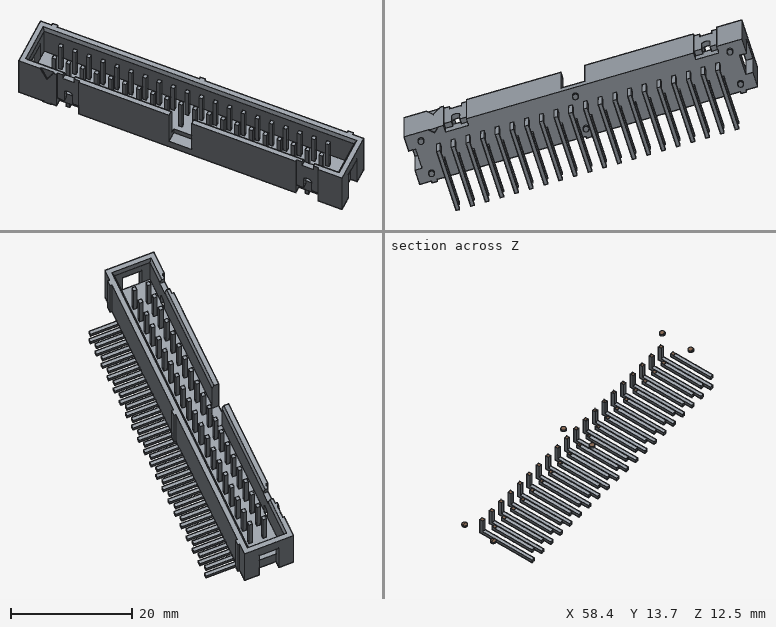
import cadquery as cq


LENGTH = 58.4
WIDTH = 8.8
HEIGHT = 9.0
WALL = 1.2
RIM = 0.9
BEVEL_HEIGHT = 0.7
FLOOR = 2.6
CUT_MARGIN = 0.6
FRONT = -WIDTH / 2
BACK = WIDTH / 2

KEY_WIDTH = 4.1
KEY_DEPTH = 1.9
KEY_BOTTOM = 1.6

LATCH_OFFSET = 1.2
LATCH_SPACING = 43.2
LATCH_CENTRES = [LATCH_OFFSET - LATCH_SPACING / 2, LATCH_OFFSET + LATCH_SPACING / 2]
LATCH_WIDTH = 4.0
LATCH_DEPTH = 0.35
LATCH_POCKET_HEIGHT = 1.75
LATCH_NOTCH_WIDTH = 2.05
LATCH_NOTCH_HEIGHT = 1.05
ARCH_WIDTH = 1.45
ARCH_TOP = 4.8

WINDOW_WIDTH = 3.5
WINDOW_TOP = 6.55

PIN_COLUMNS = 20
PIN_SPAN = 48.25
PITCH = PIN_SPAN / (PIN_COLUMNS - 1)
PIN_ONE_X = -PIN_SPAN / 2
PIN_SIZE = 0.65
PIN_TOP = 8.9
PIN_BOTTOM = -3.5
TAIL_REACH = 13.7

POST_DIAMETER = 1.0
POST_HEIGHT = 0.6
POST_CENTRES_X = [-26.7, 0, 26.7]
POST_OFFSET_Y = 3.0
RIB_PROJECTION = 0.35

FRONT_MARK_WIDTH = 2.4
FRONT_MARK_HEIGHT = 2.45
FRONT_MARK_DEPTH = 0.25
BASE_MARK_WIDTH = 1.65
BASE_MARK_LENGTH = 0.75
BASE_MARK_RELIEF = 0.2


def block(x_range, y_range, z_range):
    """Box spanning the given limits along each axis."""
    size = [high - low for low, high in (x_range, y_range, z_range)]
    corner = (x_range[0], y_range[0], z_range[0])
    return cq.Workplane("XY").box(*size, centered=False).translate(corner)


def span(centre, width):
    """Limits of a width placed about a centre."""
    return (centre - width / 2, centre + width / 2)


def make_shroud():
    """Open box with a lead-in bevel around the mouth of its cavity."""
    shroud = block(span(0, LENGTH), span(0, WIDTH), (0, HEIGHT))
    cavity = block(
        span(0, LENGTH - 2 * WALL), span(0, WIDTH - 2 * WALL), (FLOOR, HEIGHT)
    )
    bevel = (
        cq.Workplane("XY", origin=(0, 0, HEIGHT - BEVEL_HEIGHT))
        .rect(LENGTH - 2 * WALL, WIDTH - 2 * WALL)
        .workplane(offset=BEVEL_HEIGHT)
        .rect(LENGTH - 2 * RIM, WIDTH - 2 * RIM)
        .loft()
    )
    return shroud.cut(cavity).cut(bevel)


def make_key_slot():
    """Polarising slot that cuts through the front wall into the floor."""
    return block(
        span(0, KEY_WIDTH),
        (FRONT - CUT_MARGIN, FRONT + KEY_DEPTH),
        (KEY_BOTTOM, HEIGHT + CUT_MARGIN),
    )


def make_latch_cut(x):
    """Full-height recess with a lower pocket, a top notch and an arched opening."""
    through_wall = (FRONT - CUT_MARGIN, FRONT + WALL)
    recess = block(
        span(x, LATCH_WIDTH),
        (FRONT - CUT_MARGIN, FRONT + LATCH_DEPTH),
        (-CUT_MARGIN, HEIGHT + CUT_MARGIN),
    )
    pocket = block(span(x, LATCH_WIDTH), through_wall, (-CUT_MARGIN, LATCH_POCKET_HEIGHT))
    notch = block(
        span(x, LATCH_NOTCH_WIDTH),
        through_wall,
        (HEIGHT - LATCH_NOTCH_HEIGHT, HEIGHT + CUT_MARGIN),
    )
    arch_radius = ARCH_WIDTH / 2
    arch_spring = ARCH_TOP - arch_radius
    arch = (
        cq.Workplane("XZ", origin=(x, FRONT + WALL, 0))
        .moveTo(-arch_radius, 0)
        .lineTo(arch_radius, 0)
        .lineTo(arch_radius, arch_spring)
        .threePointArc((0, ARCH_TOP), (-arch_radius, arch_spring))
        .close()
        .extrude(WALL + CUT_MARGIN)
    )
    return recess.union(pocket).union(notch).union(arch)


def make_end_windows():
    """Openings through both end walls, running down to the underside."""
    channel = block(
        span(0, LENGTH + 2 * CUT_MARGIN), span(0, WINDOW_WIDTH), (-CUT_MARGIN, WINDOW_TOP)
    )
    core = block(span(0, LENGTH - 2 * WALL), span(0, WIDTH), (-CUT_MARGIN, HEIGHT))
    return channel.cut(core)


def make_pin_row(y, tail_rise):
    """Row of L-shaped pins at y; their tails sit tail_rise above the lowest tails."""
    half = PIN_SIZE / 2
    tail_bottom = PIN_BOTTOM + tail_rise
    tail_tip = FRONT + TAIL_REACH
    row = cq.Workplane("XY")
    for column in range(PIN_COLUMNS):
        pin = (
            cq.Workplane("YZ", origin=(PIN_ONE_X + column * PITCH - half, 0, 0))
            .moveTo(y - half, PIN_TOP)
            .lineTo(y - half, tail_bottom)
            .lineTo(tail_tip, tail_bottom)
            .lineTo(tail_tip, tail_bottom + PIN_SIZE)
            .lineTo(y + half, tail_bottom + PIN_SIZE)
            .lineTo(y + half, PIN_TOP)
            .close()
            .extrude(PIN_SIZE)
        )
        row.add(pin)
    return row.combine()


def make_posts():
    """Round stand-offs under both long edges of the base."""
    places = [(x, y) for x in POST_CENTRES_X for y in (-POST_OFFSET_Y, POST_OFFSET_Y)]
    return (
        cq.Workplane("XY", origin=(0, 0, -POST_HEIGHT))
        .pushPoints(places)
        .circle(POST_DIAMETER / 2)
        .extrude(POST_HEIGHT)
    )


def make_rib(x):
    """Full-height rib on the back wall."""
    return block(span(x, POST_DIAMETER), (BACK, BACK + RIB_PROJECTION), (0, HEIGHT))


def make_front_mark():
    """Triangle engraved in the front wall, pointing down at pin one."""
    return (
        cq.Workplane("XZ", origin=(PIN_ONE_X, FRONT + FRONT_MARK_DEPTH, HEIGHT))
        .polyline([(-FRONT_MARK_WIDTH / 2, 0), (FRONT_MARK_WIDTH / 2, 0), (0, -FRONT_MARK_HEIGHT)])
        .close()
        .extrude(FRONT_MARK_DEPTH)
    )


def make_base_mark():
    """Triangle raised below the base, its wide side on the front edge."""
    return (
        cq.Workplane("XY", origin=(PIN_ONE_X, FRONT, -BASE_MARK_RELIEF))
        .polyline([(-BASE_MARK_WIDTH / 2, 0), (BASE_MARK_WIDTH / 2, 0), (0, BASE_MARK_LENGTH)])
        .close()
        .extrude(BASE_MARK_RELIEF)
    )


body = make_shroud()
body = body.cut(make_key_slot())
for latch_x in LATCH_CENTRES:
    body = body.cut(make_latch_cut(latch_x))
body = body.cut(make_end_windows())
body = body.cut(make_front_mark())
body = body.union(make_posts())
for rib_x in POST_CENTRES_X:
    body = body.union(make_rib(rib_x))
body = body.union(make_base_mark())
body = body.union(make_pin_row(-PITCH / 2, 0))
body = body.union(make_pin_row(PITCH / 2, PITCH))
result = body